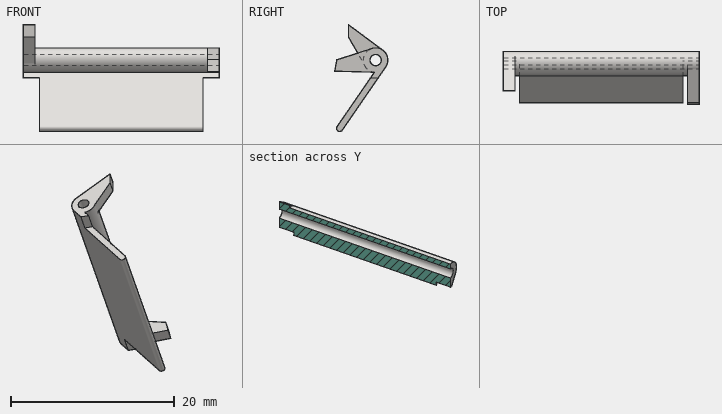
import cadquery as cq
import math

length = 24.0
barrel_diameter = 3.0
barrel_radius = barrel_diameter / 2
bore_diameter = 1.35

leaf_angle = math.radians(55.5)
leaf_thickness = 0.8
leaf_reach = 9.35
leaf_end_setback = 2.0
leaf_step_z = -2.15

arm_width = 1.5
raised_arm_tip = [(-3.34, 4.35), (-3.34, 2.8)]
low_arm_tip = [(-4.75, 0.05), (-5.02, -1.37)]
raised_arm_root_angle = math.radians(197.7)
low_arm_root_angle = math.radians(116.6)


def barrel_point(angle):
    """(Y, Z) on the barrel surface at an angle from +Y toward +Z."""
    return (barrel_radius * math.cos(angle), barrel_radius * math.sin(angle))


def tangent_point(point, side):
    """Point where a line from the given point touches the barrel; side is +1 or -1."""
    y, z = point
    angle = math.atan2(z, y) + side * math.acos(barrel_radius / math.hypot(y, z))
    return barrel_point(angle)


def make_arm(tip, upper_root, lower_root, start_x):
    """Tapered arm from the barrel axis, with its long faces running from the roots to the tip."""
    outline = [(0, 0), upper_root, *tip, lower_root]
    return cq.Workplane("YZ", origin=(start_x, 0, 0)).polyline(outline).close().extrude(arm_width)


def leaf_point(along, offset):
    """(Y, Z) at a distance along the slope and an offset from the barrel axis."""
    return (
        offset * math.sin(leaf_angle) - along * math.cos(leaf_angle),
        -offset * math.cos(leaf_angle) - along * math.sin(leaf_angle),
    )


def make_leaf():
    """Sloping leaf with a rounded free edge and both ends set back below the step."""
    inner_offset = barrel_radius - leaf_thickness
    middle_offset = barrel_radius - leaf_thickness / 2
    leaf = (
        cq.Workplane("YZ")
        .moveTo(*leaf_point(0, barrel_radius))
        .lineTo(*leaf_point(leaf_reach, barrel_radius))
        .threePointArc(
            leaf_point(leaf_reach + leaf_thickness / 2, middle_offset),
            leaf_point(leaf_reach, inner_offset),
        )
        .lineTo(*leaf_point(0, inner_offset))
        .close()
        .extrude(length)
    )
    cutter_size = 2 * leaf_reach
    for start_x in (0, length - leaf_end_setback):
        setback = cq.Workplane("XY").box(
            leaf_end_setback, cutter_size, cutter_size, centered=(False, True, False)
        )
        leaf = leaf.cut(setback.translate((start_x, 0, leaf_step_z - cutter_size)))
    return leaf


barrel = cq.Workplane("YZ").circle(barrel_radius).extrude(length)
bore = cq.Workplane("YZ").circle(bore_diameter / 2).extrude(length)

raised_arm = make_arm(
    raised_arm_tip,
    tangent_point(raised_arm_tip[0], -1),
    barrel_point(raised_arm_root_angle),
    0,
)
low_arm = make_arm(
    low_arm_tip,
    barrel_point(low_arm_root_angle),
    tangent_point(low_arm_tip[1], 1),
    length - arm_width,
)

result = barrel.union(make_leaf()).union(raised_arm).union(low_arm).cut(bore)